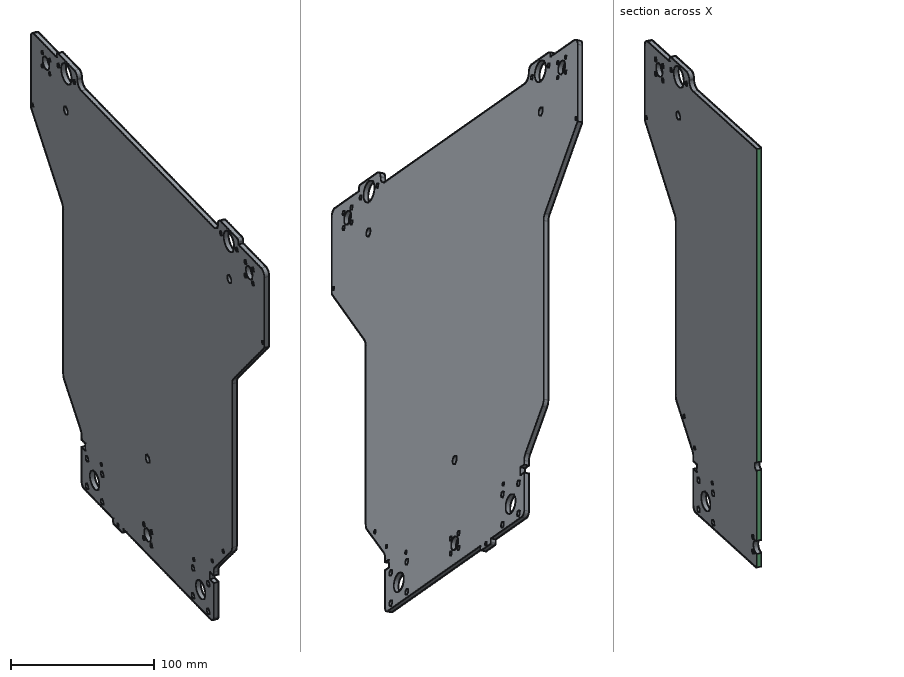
import cadquery as cq

THICKNESS = 4.0

WING_HALF_WIDTH = 176.5
BODY_HALF_WIDTH = 128.0
FOOT_HALF_WIDTH = 100.0

WING_TOP = 334.5
WING_BOTTOM = 271.0
BODY_TOP = 216.5
BODY_BOTTOM = 75.2
FOOT_TOP = 44.5
CENTRE_TOP = 327.8

EAR_TOP = 338.7
EAR_OUTER_X = 137.5
EAR_INNER_X = 106.3
EAR_OUTER_RADIUS = 2.0
EAR_INNER_RADIUS = 4.5
EAR_ROOT_RADIUS = 6.0

WING_CORNER_RADIUS = 5.0
BODY_CORNER_RADIUS = 7.0
FOOT_CORNER_RADIUS = 4.0

SLOT_DEPTH = 5.5
SLOT_BOTTOM = 32.5
SLOT_HEIGHT = 6.0

TAB_LEFT = -52.3
TAB_RIGHT = -37.0
TAB_DROP = 4.0
TAB_CORNER_RADIUS = 1.5

EAR_HOLE = (123.0, 329.0)
EAR_HOLE_DIAMETER = 15.5
EAR_SCREW_OFFSET = 12.0
SCREW_DIAMETER = 3.2
BEARING_X = 153.5
BEARING_Z = 320.5
BEARING_DIAMETER = 10.0
BEARING_SCREW_OFFSET = 5.5
LEFT_BEARING_SCREW_DIAMETER = 2.5
MOTOR_HOLE = (80.0, 16.0)
MOTOR_HOLE_DIAMETER = 14.0
MOTOR_SCREW_SPACING = 23.0
MOTOR_SCREW_DIAMETER = 4.2
PIVOT_DIAMETER = 6.0
UPPER_PIVOT = (123.5, 298.0)
LOWER_PIVOT_Z = 79.0
PIN_DIAMETER = 2.5
WING_PIN = (174.0, 274.0)
FOOT_PIN = (70.0, 35.0)
RIGHT_PINS = [(98.0, 49.8), (114.5, 67.0)]
TAB_PIN = (-45.0, -1.0)


def extrude_profile(profile):
    """Give a profile in the XZ plane the plate thickness, from Y = 0 towards +Y."""
    return profile.extrude(-THICKNESS)


def box(x_min, x_max, z_min, z_max):
    width = x_max - x_min
    height = z_max - z_min
    centre = ((x_min + x_max) / 2, (z_min + z_max) / 2)
    return extrude_profile(cq.Workplane("XZ").pushPoints([centre]).rect(width, height))


def mirrored(point):
    x, z = point
    return [(-x, z), (x, z)]


def square_pattern(centre, offset):
    x, z = centre
    return [(x + i * offset, z + j * offset) for i in (-1, 1) for j in (-1, 1)]


def round_corners(plate, corners, radius):
    """Fillet the through-thickness edges at the given corners and their mirror images."""
    for corner in corners:
        for x, z in mirrored(corner):
            edge = cq.selectors.NearestToPointSelector((x, THICKNESS / 2, z))
            plate = plate.edges("|Y").edges(edge).fillet(radius)
    return plate


def make_outline():
    right_side = [
        (FOOT_HALF_WIDTH, 0),
        (FOOT_HALF_WIDTH, FOOT_TOP),
        (BODY_HALF_WIDTH, BODY_BOTTOM),
        (BODY_HALF_WIDTH, BODY_TOP),
        (WING_HALF_WIDTH, WING_BOTTOM),
        (WING_HALF_WIDTH, WING_TOP),
        (EAR_OUTER_X, WING_TOP),
        (EAR_OUTER_X, EAR_TOP),
        (EAR_INNER_X, EAR_TOP),
        (EAR_INNER_X, CENTRE_TOP),
    ]
    left_side = [(-x, z) for x, z in reversed(right_side)]
    plate = extrude_profile(cq.Workplane("XZ").polyline(right_side + left_side).close())
    plate = round_corners(plate, [(WING_HALF_WIDTH, WING_TOP)], WING_CORNER_RADIUS)
    body_corners = [
        (BODY_HALF_WIDTH, BODY_TOP),
        (BODY_HALF_WIDTH, BODY_BOTTOM),
        (FOOT_HALF_WIDTH, FOOT_TOP),
    ]
    plate = round_corners(plate, body_corners, BODY_CORNER_RADIUS)
    plate = round_corners(plate, [(FOOT_HALF_WIDTH, 0)], FOOT_CORNER_RADIUS)
    plate = round_corners(plate, [(EAR_OUTER_X, EAR_TOP)], EAR_OUTER_RADIUS)
    plate = round_corners(plate, [(EAR_INNER_X, EAR_TOP)], EAR_INNER_RADIUS)
    return round_corners(plate, [(EAR_INNER_X, CENTRE_TOP)], EAR_ROOT_RADIUS)


def cut_slots(plate):
    slot_top = SLOT_BOTTOM + SLOT_HEIGHT
    slot_floor = FOOT_HALF_WIDTH - SLOT_DEPTH
    plate = plate.cut(box(slot_floor, FOOT_HALF_WIDTH, SLOT_BOTTOM, slot_top))
    return plate.cut(box(-FOOT_HALF_WIDTH, -slot_floor, SLOT_BOTTOM, slot_top))


def add_tab(plate):
    """Add the tab with rounded lower corners; it overlaps the plate above the bottom edge."""
    tab = box(TAB_LEFT, TAB_RIGHT, -TAB_DROP, TAB_DROP)
    lower_corners = tab.faces("<Z").edges("|Y")
    return plate.union(lower_corners.fillet(TAB_CORNER_RADIUS))


def drill(plate, points, diameter):
    return plate.cut(extrude_profile(cq.Workplane("XZ").pushPoints(points).circle(diameter / 2)))


def drill_ears(plate):
    plate = drill(plate, mirrored(EAR_HOLE), EAR_HOLE_DIAMETER)
    for x, z in mirrored(EAR_HOLE):
        screws = [(x - EAR_SCREW_OFFSET, z), (x + EAR_SCREW_OFFSET, z)]
        plate = drill(plate, screws, SCREW_DIAMETER)
    return plate


def drill_bearing(plate, centre, screw_diameter):
    plate = drill(plate, [centre], BEARING_DIAMETER)
    return drill(plate, square_pattern(centre, BEARING_SCREW_OFFSET), screw_diameter)


def drill_motor_mounts(plate):
    plate = drill(plate, mirrored(MOTOR_HOLE), MOTOR_HOLE_DIAMETER)
    for centre in mirrored(MOTOR_HOLE):
        plate = drill(plate, square_pattern(centre, MOTOR_SCREW_SPACING / 2), MOTOR_SCREW_DIAMETER)
    return plate


plate = make_outline()
plate = cut_slots(plate)
plate = add_tab(plate)

plate = drill_ears(plate)
plate = drill_bearing(plate, (-BEARING_X, BEARING_Z), LEFT_BEARING_SCREW_DIAMETER)
plate = drill_bearing(plate, (BEARING_X, BEARING_Z), SCREW_DIAMETER)
plate = drill_bearing(plate, (0, MOTOR_HOLE[1]), SCREW_DIAMETER)
plate = drill_motor_mounts(plate)
plate = drill(plate, mirrored(UPPER_PIVOT) + [(0, LOWER_PIVOT_Z)], PIVOT_DIAMETER)

pins = mirrored(WING_PIN) + mirrored(FOOT_PIN) + RIGHT_PINS + [TAB_PIN]
result = drill(plate, pins, PIN_DIAMETER)